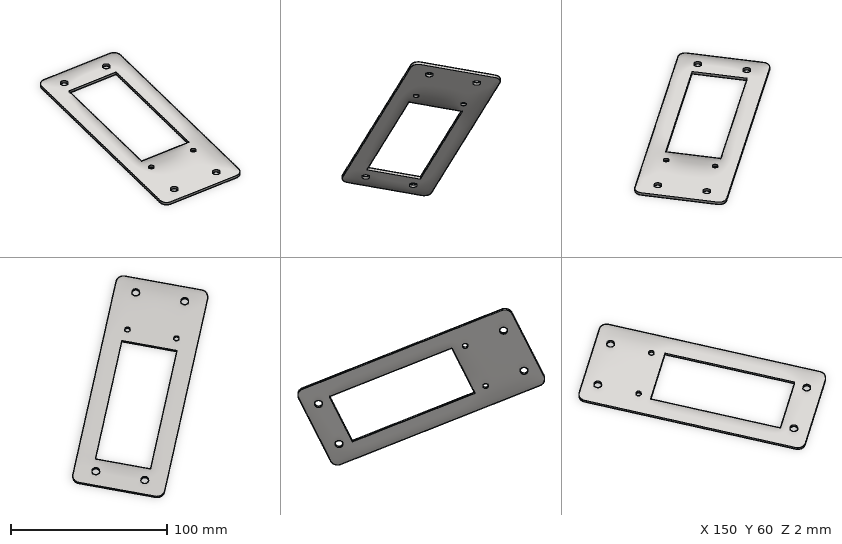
import cadquery as cq

plate_length = 150.0
plate_width = 60.0
plate_thickness = 2.0
corner_radius = 5.0

window_length = 86.0
window_width = 36.0
window_center_x = -13.5

hole_row_y = 16.0
corner_hole_x = 65.0
corner_hole_diameter = 5.0
inner_hole_x = 38.0
inner_hole_diameter = 3.5


def make_plate():
    """Flat plate with rounded vertical corners."""
    plate = cq.Workplane("XY").box(
        plate_length, plate_width, plate_thickness, centered=(True, True, False)
    )
    return plate.edges("|Z").fillet(corner_radius)


def cut_window(plate):
    """Cut the rectangular window through the plate."""
    window = cq.Workplane("XY").center(window_center_x, 0).rect(window_length, window_width)
    return plate.cut(window.extrude(plate_thickness))


def cut_hole_pair(plate, x, diameter):
    """Cut two through holes at the given X, one in each row."""
    centers = [(x, hole_row_y), (x, -hole_row_y)]
    holes = cq.Workplane("XY").pushPoints(centers).circle(diameter / 2)
    return plate.cut(holes.extrude(plate_thickness))


result = cut_window(make_plate())
for hole_x in (-corner_hole_x, corner_hole_x):
    result = cut_hole_pair(result, hole_x, corner_hole_diameter)
result = cut_hole_pair(result, inner_hole_x, inner_hole_diameter)